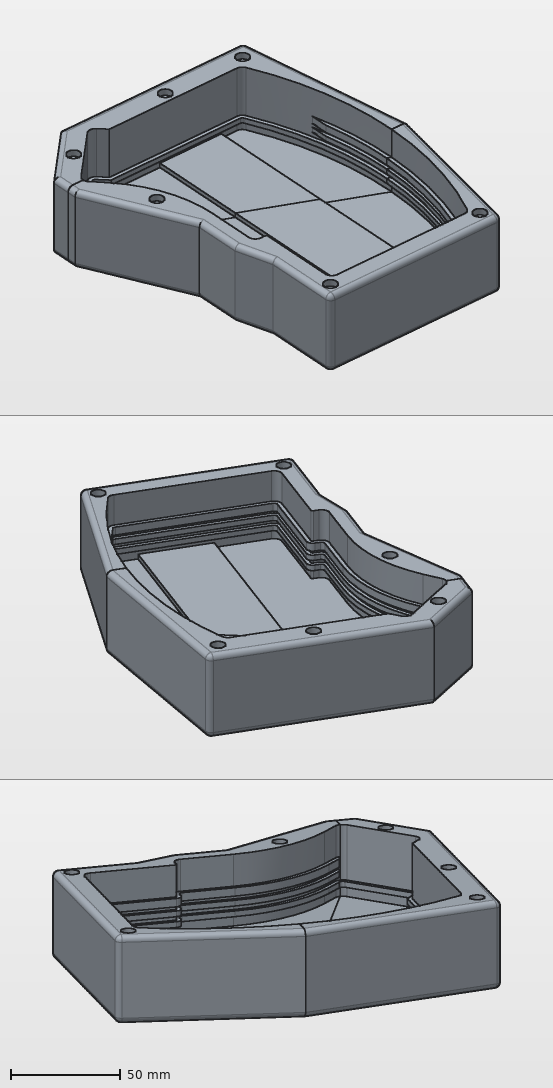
import cadquery as cq
import math

HEIGHT = 42.5
LENGTH = 183.8
DEPTH = 153.0
EDGE_RADIUS = 3.0
LEFT_BACK_Y = 137.7
RIGHT_BACK_Y = 136.5
APEX_X = 98.4
RIGHT_FRONT_Y = 33.5
STEP_Y = 27.4
STEP_START_X = 98.9
STEP_END_X = 124.0
SLANT_END_X = 143.5
FRONT_LEFT_X = 28.1
FRONT_RIGHT_X = 43.2
CORNER_CUT = FRONT_LEFT_X

FLOOR_Z = 7.9
CAVITY_LEFT_X = 14.5
CAVITY_RIGHT_X = 172.3
CAVITY_FRONT_Y = 44.0
CAVITY_STEP_X = 126.8
CAVITY_STEP_Y = 36.5
CAVITY_CORNER_RADIUS = 3.9
CAVITY_STEP_RADIUS = 1.0
BACK_ARC_LEFT_Y = 124.1
BACK_ARC_TOP_Y = 143.4
BACK_ARC_RIGHT_Y = 126.7
NOTCH_TOP_Y = 45.0
NOTCH_DEPTH = 7.0
FRONT_ARC_END_X = 97.6
FRONT_ARC_RADIUS = 72.5
FRONT_ARC_ANGLE = math.radians(43)

BAND_FRONT_Y = 75.4
BAND_BACK_Y = 112.3
BAND_HEIGHT = 2.4

RIDGE_WIDTH = 2.2
UPPER_RIDGES = [(27.0, 4.0), (21.0, 2.8)]
LOWEST_RIDGE = (15.8, 2.8)
UPPER_RIDGE_END_Y = 137.3

HOLE_DIAMETER = 7.0
HOLE_DEPTH = 3.5
HOLE_CENTERS = [
    (9.2, 129.6),
    (8.8, 83.5),
    (19.5, 19.3),
    (71.9, 24.8),
    (176.1, 40.5),
    (176.3, 130.2),
]

SEAM_FRONT_X = 38.2
SEAM_FRONT_CAVITY_Y = 9.2


def make_block():
    outline = [
        (0, CORNER_CUT),
        (0, LEFT_BACK_Y),
        (APEX_X, DEPTH),
        (LENGTH, RIGHT_BACK_Y),
        (LENGTH, RIGHT_FRONT_Y),
        (SLANT_END_X, RIGHT_FRONT_Y),
        (STEP_END_X, STEP_Y),
        (STEP_START_X, STEP_Y),
        (FRONT_RIGHT_X, 0),
        (FRONT_LEFT_X, 0),
    ]
    block = cq.Workplane("XY").polyline(outline).close().extrude(HEIGHT)
    rounded_corners = [(0, LEFT_BACK_Y), (LENGTH, RIGHT_BACK_Y), (LENGTH, RIGHT_FRONT_Y)]
    for x, y in rounded_corners:
        corner = cq.selectors.NearestToPointSelector((x, y, HEIGHT / 2))
        block = block.edges("|Z").edges(corner).fillet(EDGE_RADIUS)
    return block.faces("<Z or >Z").edges().fillet(EDGE_RADIUS)


def make_cavity(bottom, top):
    """Prism with the outline of the opening, between two heights."""
    arc_start = (FRONT_ARC_END_X, CAVITY_STEP_Y)

    def on_front_arc(angle):
        return (
            arc_start[0] - FRONT_ARC_RADIUS * math.sin(angle),
            arc_start[1] - FRONT_ARC_RADIUS * (1 - math.cos(angle)),
        )

    arc_end = on_front_arc(FRONT_ARC_ANGLE)
    notch = (CAVITY_LEFT_X - NOTCH_DEPTH, NOTCH_TOP_Y - NOTCH_DEPTH)
    slope = math.tan(FRONT_ARC_ANGLE)
    tip_x = (notch[0] + notch[1] - arc_end[1] + slope * arc_end[0]) / (1 + slope)
    tip = (tip_x, notch[0] + notch[1] - tip_x)
    prism = (
        cq.Workplane("XY", origin=(0, 0, bottom))
        .moveTo(CAVITY_LEFT_X, NOTCH_TOP_Y)
        .lineTo(CAVITY_LEFT_X, BACK_ARC_LEFT_Y)
        .threePointArc((APEX_X, BACK_ARC_TOP_Y), (CAVITY_RIGHT_X, BACK_ARC_RIGHT_Y))
        .lineTo(CAVITY_RIGHT_X, CAVITY_FRONT_Y)
        .lineTo(CAVITY_STEP_X, CAVITY_FRONT_Y)
        .lineTo(CAVITY_STEP_X, CAVITY_STEP_Y)
        .lineTo(*arc_start)
        .threePointArc(on_front_arc(FRONT_ARC_ANGLE / 2), arc_end)
        .lineTo(*tip)
        .lineTo(*notch)
        .close()
        .extrude(top - bottom)
    )
    rounded_corners = [
        ((CAVITY_LEFT_X, BACK_ARC_LEFT_Y), CAVITY_CORNER_RADIUS),
        ((CAVITY_RIGHT_X, BACK_ARC_RIGHT_Y), CAVITY_CORNER_RADIUS),
        ((CAVITY_RIGHT_X, CAVITY_FRONT_Y), CAVITY_CORNER_RADIUS),
        ((CAVITY_STEP_X, CAVITY_FRONT_Y), CAVITY_STEP_RADIUS),
        ((CAVITY_STEP_X, CAVITY_STEP_Y), CAVITY_CORNER_RADIUS),
        (tip, CAVITY_CORNER_RADIUS),
        (notch, CAVITY_CORNER_RADIUS),
    ]
    for (x, y), radius in rounded_corners:
        corner = cq.selectors.NearestToPointSelector((x, y, (bottom + top) / 2))
        prism = prism.edges("|Z").edges(corner).fillet(radius)
    return prism


def make_ridge(top, thickness):
    """Ring that lines the cavity wall."""
    prism = make_cavity(top - thickness, top)
    inner_edge = prism.faces("<Z").wires().val().offset2D(-RIDGE_WIDTH, "intersection")[0]
    opening = cq.Solid.extrudeLinear(inner_edge, [], cq.Vector(0, 0, thickness))
    return prism.cut(cq.Workplane(opening))


def make_left_half_space():
    """Everything on the left of the seam."""
    outline = [
        (SEAM_FRONT_X, 0),
        (SEAM_FRONT_X, SEAM_FRONT_CAVITY_Y),
        (APEX_X, BACK_ARC_TOP_Y),
        (APEX_X, DEPTH),
        (0, DEPTH),
        (0, 0),
    ]
    return cq.Workplane("XY").polyline(outline).close().extrude(HEIGHT)


def make_band():
    strip = cq.Workplane("XY").box(LENGTH, BAND_BACK_Y - BAND_FRONT_Y, HEIGHT, centered=False)
    strip = strip.translate((0, BAND_FRONT_Y, 0))
    return make_cavity(FLOOR_Z, FLOOR_Z + BAND_HEIGHT).intersect(strip)


def make_case(left_half_space):
    """The whole case before it is parted at the seam."""
    case = make_block().cut(make_cavity(FLOOR_Z, HEIGHT))
    case = case.union(make_band())
    case = case.union(make_ridge(*LOWEST_RIDGE))
    clearance = left_half_space.intersect(
        cq.Workplane("XY").box(LENGTH, UPPER_RIDGE_END_Y, HEIGHT, centered=False)
    )
    for top, thickness in UPPER_RIDGES:
        case = case.union(make_ridge(top, thickness).cut(clearance))
    holes = (
        cq.Workplane("XY", origin=(0, 0, HEIGHT - HOLE_DEPTH))
        .pushPoints(HOLE_CENTERS)
        .circle(HOLE_DIAMETER / 2)
        .extrude(HOLE_DEPTH)
    )
    return case.cut(holes)


left_half_space = make_left_half_space()
case = make_case(left_half_space)
left_half = case.intersect(left_half_space)
right_half = case.cut(left_half_space)

result = cq.Compound.makeCompound([left_half.val(), right_half.val()])